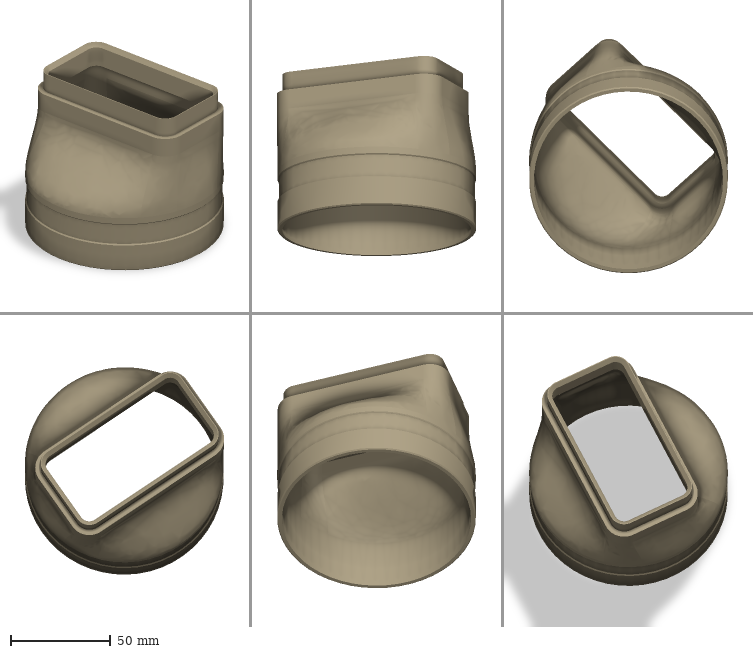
import cadquery as cq
import math

wall = 2.4
pipe_diameter = 100.0
groove_diameter = 98.8
groove_bottom_z = 15.0
groove_top_z = 26.0
round_top_z = 30.0
collar_bottom_z = 60.0
collar_top_z = 70.0
total_height = 80.0

rect_offset_y = 4.9
flat_x = 70.0
flat_y = 30.0
collar_corner = 10.2
spigot_corner = 7.4
lead_in = 2.0

corner_start_angle = 18.4
corner_end_angle = 40.8
blend_sections = 9
points_per_stretch = 7

pipe_radius = pipe_diameter / 2
groove_radius = groove_diameter / 2
edge_bevel = pipe_radius - groove_radius
bore_radius = pipe_radius - wall
spigot_bore_corner = spigot_corner - wall
collar_bore_corner = collar_corner - wall
mouth_corner = spigot_bore_corner + lead_in


def rounded_rectangle(corner, bottom_z, height):
    """Prism whose flats are flat_x by flat_y long, with the given corner radius."""
    return (
        cq.Workplane("XY", origin=(0, rect_offset_y, bottom_z))
        .rect(flat_x + 2 * corner, flat_y + 2 * corner)
        .extrude(height)
        .edges("|Z")
        .fillet(corner)
    )


def mix(start, end, fraction):
    return start + (end - start) * fraction


def stretches():
    """The eight sides and corners, counter-clockwise from the +X side.

    Each is three start-and-end pairs: the angles it covers on the circle, the
    rectangle's corner centres it runs between, and its outward directions in degrees.
    """
    half_x = flat_x / 2
    half_y = flat_y / 2
    centres = [(half_x, half_y), (-half_x, half_y), (-half_x, -half_y), (half_x, -half_y)]
    angles = [
        (corner_start_angle, corner_end_angle),
        (180 - corner_end_angle, 180 - corner_start_angle),
        (180 + corner_start_angle, 180 + corner_end_angle),
        (360 - corner_end_angle, 360 - corner_start_angle),
    ]
    found = []
    previous_centre = centres[-1]
    previous_angle = angles[-1][1] - 360
    for quadrant in range(4):
        centre = centres[quadrant]
        first, last = angles[quadrant]
        facing = 90 * quadrant
        found.append(((previous_angle, first), (previous_centre, centre), (facing, facing)))
        found.append(((first, last), (centre, centre), (facing, facing + 90)))
        previous_centre = centre
        previous_angle = last
    return found


def section_edge(points, height_fraction, is_side):
    """Exact arc on the circle, exact line or arc on the rectangle, a spline in between."""
    if height_fraction == 1 and is_side:
        return cq.Edge.makeLine(points[0], points[-1])
    if height_fraction in (0, 1):
        return cq.Edge.makeThreePointArc(points[0], points[len(points) // 2], points[-1])
    return cq.Edge.makeSpline(points)


def blend_section(radius, corner, height_fraction):
    """Closed wire between the circle (fraction 0) and the rectangle (fraction 1)."""
    z = mix(round_top_z, collar_bottom_z, height_fraction)
    weight = height_fraction ** 2 * (3 - 2 * height_fraction)
    edges = []
    for (angle_0, angle_1), (centre_0, centre_1), (facing_0, facing_1) in stretches():
        points = []
        for index in range(points_per_stretch):
            along = index / (points_per_stretch - 1)
            angle = math.radians(mix(angle_0, angle_1, along))
            facing = math.radians(mix(facing_0, facing_1, along))
            rect_x = mix(centre_0[0], centre_1[0], along) + corner * math.cos(facing)
            rect_y = mix(centre_0[1], centre_1[1], along) + corner * math.sin(facing) + rect_offset_y
            x = mix(radius * math.cos(angle), rect_x, weight)
            y = mix(radius * math.sin(angle), rect_y, weight)
            points.append(cq.Vector(x, y, z))
        edges.append(section_edge(points, height_fraction, facing_0 == facing_1))
    return cq.Wire.assembleEdges(edges)


def transition(radius, corner):
    """Solid running smoothly from the circle up to the offset rounded rectangle."""
    last = blend_sections - 1
    sections = [blend_section(radius, corner, index / last) for index in range(blend_sections)]
    return cq.Workplane("XY").newObject([cq.Solid.makeLoft(sections)])


def round_end():
    """Turned round end with a shallow bevelled band and a bevelled bottom edge."""
    profile = [
        (0, 0),
        (groove_radius, 0),
        (pipe_radius, edge_bevel),
        (pipe_radius, groove_bottom_z - edge_bevel),
        (groove_radius, groove_bottom_z),
        (groove_radius, groove_top_z),
        (pipe_radius, groove_top_z + edge_bevel),
        (pipe_radius, round_top_z),
        (0, round_top_z),
    ]
    return cq.Workplane("XZ").polyline(profile).close().revolve(360, (0, 0), (0, 1))


def outside():
    collar = rounded_rectangle(collar_corner, collar_bottom_z, collar_top_z - collar_bottom_z)
    spigot = rounded_rectangle(spigot_corner, collar_top_z, total_height - collar_top_z)
    return round_end().union(transition(pipe_radius, collar_corner)).union(collar).union(spigot)


def cavity():
    shelf_z = collar_top_z - wall
    bore = cq.Workplane("XY").circle(bore_radius).extrude(round_top_z)
    collar_bore = rounded_rectangle(collar_bore_corner, collar_bottom_z, shelf_z - collar_bottom_z)
    spigot_bore = rounded_rectangle(spigot_bore_corner, shelf_z, total_height - shelf_z)
    mouth = (
        cq.Workplane("XY", origin=(0, rect_offset_y, total_height))
        .sketch()
        .rect(flat_x + 2 * mouth_corner, flat_y + 2 * mouth_corner)
        .vertices()
        .fillet(mouth_corner)
        .finalize()
        .extrude(-lead_in, taper=45)
    )
    return (
        bore.union(transition(bore_radius, collar_bore_corner))
        .union(collar_bore)
        .union(spigot_bore)
        .union(mouth)
    )


result = outside().cut(cavity()).solids()